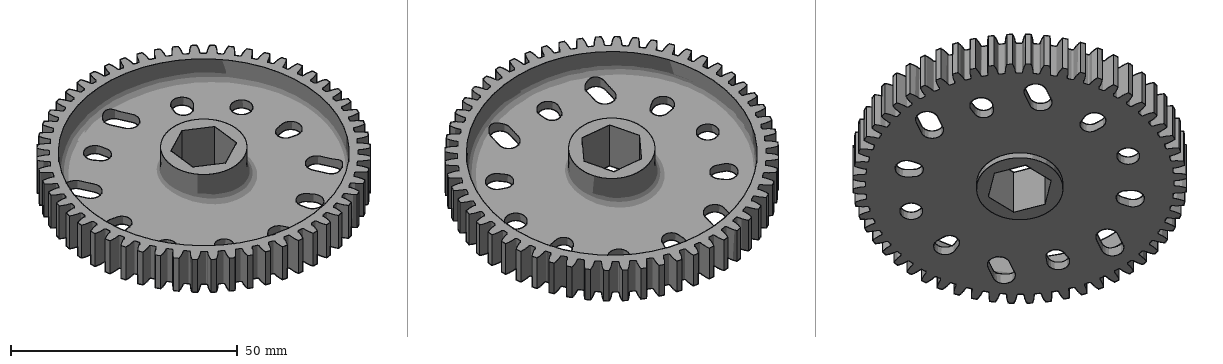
import cadquery as cq
import math

overall_size = 73.6
tooth_count = 56
pressure_angle = math.radians(14.5)
addendum_factor = 1.0
dedendum_factor = 1.2
root_fillet_radius = 0.4

rim_height = 9.5
hub_height = 12.65
hub_diameter = 19.05
hex_across_flats = 12.7
recess_diameter = 64.2
fillet_radius = 3.2
web_thickness = 2.35

large_hole_diameter = 5.0
large_hole_circle_radius = 25.4
small_hole_diameter = 4.35
small_hole_circle_radius = 23.85



def involute_angle(angle):
    """Polar angle swept by an involute at the given pressure angle."""
    return math.tan(angle) - angle


tooth_pitch_angle = 2 * math.pi / tooth_count
tip_ratio = 1 + 2 * addendum_factor / tooth_count
base_ratio = math.cos(pressure_angle)
pitch_half_angle = tooth_pitch_angle / 4
base_half_angle = pitch_half_angle + involute_angle(pressure_angle)
tip_half_angle = base_half_angle - involute_angle(math.acos(base_ratio / tip_ratio))

tip_radius = overall_size / 2 / math.cos(tooth_pitch_angle / 2 - tip_half_angle)
pitch_radius = tip_radius / tip_ratio
module = 2 * pitch_radius / tooth_count
root_radius = pitch_radius - dedendum_factor * module

rim_bottom = -rim_height / 2
rim_top = rim_height / 2
web_top = rim_bottom + web_thickness
recess_radius = recess_diameter / 2
hub_radius = hub_diameter / 2


def polar(radius, angle):
    return (radius * math.cos(angle), radius * math.sin(angle))


def make_toothed_disc():
    """Solid disc with teeth; each flank is one arc close to the involute, rounded into the root."""
    first_centre = tooth_pitch_angle / 2
    outline = cq.Workplane("XY", origin=(0, 0, rim_bottom))
    outline = outline.moveTo(*polar(root_radius, first_centre - base_half_angle))
    for tooth in range(tooth_count):
        centre = first_centre + tooth * tooth_pitch_angle
        gap_middle = centre + tooth_pitch_angle / 2
        next_tooth_start = centre + tooth_pitch_angle - base_half_angle
        outline = (
            outline
            .threePointArc(
                polar(pitch_radius, centre - pitch_half_angle),
                polar(tip_radius, centre - tip_half_angle),
            )
            .threePointArc(polar(tip_radius, centre), polar(tip_radius, centre + tip_half_angle))
            .threePointArc(
                polar(pitch_radius, centre + pitch_half_angle),
                polar(root_radius, centre + base_half_angle),
            )
            .threePointArc(polar(root_radius, gap_middle), polar(root_radius, next_tooth_start))
        )
    disc = outline.close().extrude(rim_height)
    root_edges = disc.edges("|Z").filter(
        lambda edge: math.hypot(edge.Center().x, edge.Center().y) < pitch_radius
    )
    return root_edges.fillet(root_fillet_radius)


def make_recess():
    """Ring-shaped pocket above the web, rounded into the hub and into the rim."""
    fillet_top = web_top + fillet_radius
    arc_offset = fillet_radius * (1 - math.sqrt(0.5))
    return (
        cq.Workplane("XZ")
        .moveTo(hub_radius, rim_top)
        .lineTo(hub_radius, fillet_top)
        .threePointArc(
            (hub_radius + arc_offset, web_top + arc_offset),
            (hub_radius + fillet_radius, web_top),
        )
        .lineTo(recess_radius - fillet_radius, web_top)
        .threePointArc(
            (recess_radius - arc_offset, web_top + arc_offset),
            (recess_radius, fillet_top),
        )
        .lineTo(recess_radius, rim_top)
        .close()
        .revolve(360, (0, 0, 0), (0, 1, 0))
    )


def make_hub():
    return cq.Workplane("XY").circle(hub_radius).extrude(hub_height / 2, both=True)


def make_hex_bore():
    """Hexagonal through bore with corners on the Y axis."""
    across_corners = hex_across_flats / math.cos(math.pi / 6)
    return (
        cq.Workplane("XY")
        .transformed(rotate=(0, 0, 90))
        .polygon(6, across_corners)
        .extrude(hub_height / 2, both=True)
    )


def make_slot(start, start_diameter, end, end_diameter):
    """Through cutter whose outline is two circles joined by their outer tangent lines."""
    start_radius = start_diameter / 2
    end_radius = end_diameter / 2
    spacing = math.dist(start, end)
    direction = math.atan2(end[1] - start[1], end[0] - start[0])
    tangent_angle = math.acos((start_radius - end_radius) / spacing)

    def on_start(angle):
        x, y = polar(start_radius, direction + angle)
        return (start[0] + x, start[1] + y)

    def on_end(angle):
        x, y = polar(end_radius, direction + angle)
        return (end[0] + x, end[1] + y)

    return (
        cq.Workplane("XY")
        .moveTo(*on_start(tangent_angle))
        .threePointArc(on_start(math.pi), on_start(-tangent_angle))
        .lineTo(*on_end(-tangent_angle))
        .threePointArc(on_end(0), on_end(tangent_angle))
        .close()
        .extrude(rim_height / 2, both=True)
    )


def make_web_holes():
    """Cutters at every 30 degrees: round holes on Y, long slots beside X, tapered slots elsewhere."""
    cutters = []
    for step in range(12):
        angle = step * math.pi / 6
        centre = polar(large_hole_circle_radius, angle)
        if step in (3, 9):
            cutter = (
                cq.Workplane("XY")
                .center(*centre)
                .circle(large_hole_diameter / 2)
                .extrude(rim_height / 2, both=True)
            )
        elif step % 2 == 1:
            outer_x = math.copysign(large_hole_circle_radius, centre[0])
            outer_end = (outer_x, centre[1])
            cutter = make_slot(centre, large_hole_diameter, outer_end, large_hole_diameter)
        else:
            inner_end = polar(small_hole_circle_radius, angle)
            cutter = make_slot(centre, large_hole_diameter, inner_end, small_hole_diameter)
        cutters.append(cutter)
    return cutters


gear = make_toothed_disc().cut(make_recess()).union(make_hub()).cut(make_hex_bore())
for hole in make_web_holes():
    gear = gear.cut(hole)

result = gear